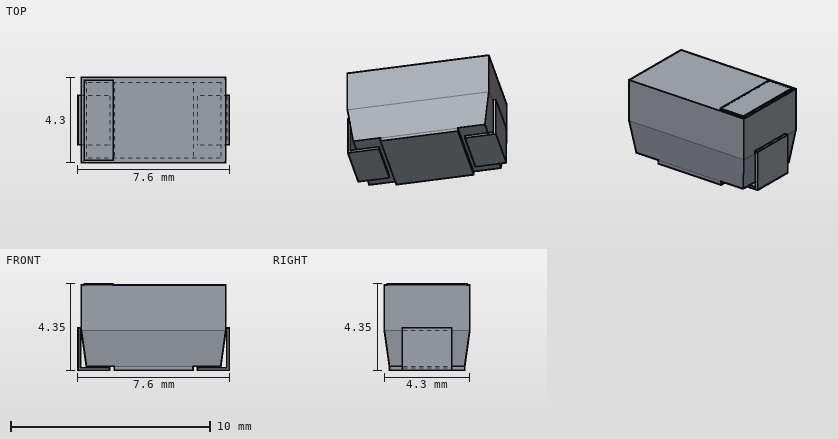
import cadquery as cq

overall_length = 7.6
overall_height = 4.35

housing_gap = 0.17
housing_length = overall_length - 2 * housing_gap
housing_width = 4.3
mark_height = 0.05
housing_top = overall_height - mark_height
waist_height = 2.02
belly_height = 0.2
taper_inset = 0.26
belly_length = housing_length - 2 * taper_inset
belly_width = housing_width - 2 * taper_inset
pad_length = 3.97

mark_inset = 0.145
mark_length = 1.46
mark_width = housing_width - 2 * mark_inset

lead_width = 2.49
lead_thickness = 0.14
lead_height = 2.135
foot_length = 1.595


def make_housing():
    upper_block = (
        cq.Workplane("XY", origin=(0, 0, waist_height))
        .rect(housing_length, housing_width)
        .extrude(housing_top - waist_height)
    )
    tapered_block = (
        cq.Workplane("XY", origin=(0, 0, belly_height))
        .rect(belly_length, belly_width)
        .workplane(offset=waist_height - belly_height)
        .rect(housing_length, housing_width)
        .loft(ruled=True)
    )
    standoff_pad = cq.Workplane("XY").rect(pad_length, belly_width).extrude(belly_height)
    return upper_block.union(tapered_block).union(standoff_pad)


def make_polarity_mark():
    mark_center_x = -housing_length / 2 + mark_inset + mark_length / 2
    return (
        cq.Workplane("XY", origin=(mark_center_x, 0, housing_top))
        .rect(mark_length, mark_width)
        .extrude(mark_height)
    )


def make_lead(side):
    """L-shaped strip on the end given by side (-1 or +1); a lip at its top meets the housing."""
    outer_x = side * overall_length / 2
    inner_x = side * (overall_length / 2 - lead_thickness)
    housing_x = side * housing_length / 2
    toe_x = side * (overall_length / 2 - foot_length)
    return (
        cq.Workplane("XZ")
        .moveTo(outer_x, 0)
        .lineTo(outer_x, lead_height)
        .lineTo(housing_x, lead_height)
        .lineTo(housing_x, waist_height)
        .lineTo(inner_x, waist_height)
        .lineTo(inner_x, lead_thickness)
        .lineTo(toe_x, lead_thickness)
        .lineTo(toe_x, 0)
        .close()
        .extrude(lead_width / 2, both=True)
    )


housing = make_housing()
polarity_mark = make_polarity_mark()
leads = [make_lead(side) for side in (-1, 1)]

result = cq.Compound.makeCompound([
    housing.val(),
    polarity_mark.val(),
    *[lead.val() for lead in leads],
])